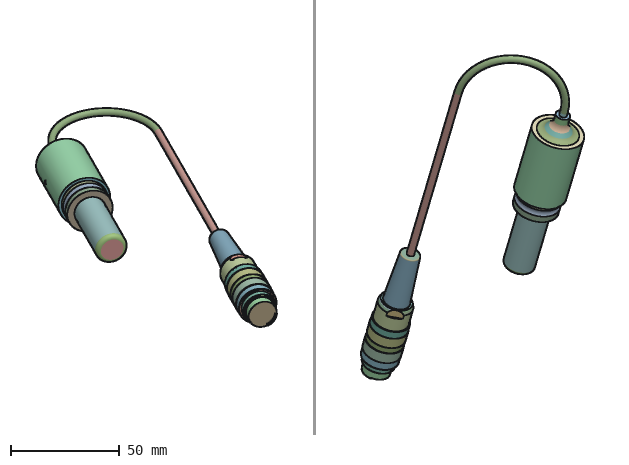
import cadquery as cq
import math

overall_length = 193.3
overall_depth = 71.7
housing_diameter = 25.0
grip_diameter = 18.5
axis_spacing = overall_depth - housing_diameter / 2 - grip_diameter / 2
bend_radius = axis_spacing / 2
cable_diameter = 3.7
connector_end = overall_length - bend_radius - cable_diameter / 2

relief_start = 2.0
relief_radius = 3.5
relief_flare_start = 5.5
relief_cone_angle = 45
relief_fillet = 4.8
relief_mouth_radius = 10.0

housing_start = 12.0
housing_end = 47.7
housing_hole_x = 26.9
housing_hole_diameter = 1.7
housing_hole_depth = 1.0

collar_end = 56.8
collar_diameter = 21.8
groove_start = 50.0
groove_width = 3.5
groove_depth = 0.8
rod_end = 92.0
rod_diameter = 15.0
rod_fillet = 2.1

boot_start = 96.5
boot_end = 124.3
boot_start_diameter = 9.7
boot_end_diameter = 13.0
boot_fillet = 0.5

shell_rim_radius = 7.5
shell_rim_length = 0.5
shell_chamfer_start_radius = 8.0
shell_chamfer_end = 126.4
shell_radius = 8.5
shell_end = 135.7
flat_end = 128.3
flat_spacing = 15.0

band_radius = 9.0
grip_radius = grip_diameter / 2
second_grip_chamfer = 0.2
ring_end_chamfer = 0.4
ring_end_radius = 8.9
first_grip_start = 139.5
first_grip_end = 145.1
second_grip_start = 148.2
second_grip_end = 154.2
ring_end = 158.5
neck_end = 162.0
neck_radius = 8.0
neck_chamfer = 0.5
plug_diameter = 13.5
tab_length = 0.4
tab_wall = 1.0
tab_first_angle = -70
tab_sweep = 65


def cylinder(start, end, diameter):
    """Solid cylinder along +X between two stations, centred on the X axis."""
    return cq.Workplane("YZ", origin=(start, 0, 0)).circle(diameter / 2).extrude(end - start)


def revolved(points):
    """Solid of revolution about the X axis from (x, radius) points."""
    return cq.Workplane("XY").polyline(points).close().revolve(360, (0, 0, 0), (1, 0, 0))


def on_connector_axis(body):
    return body.translate((0, axis_spacing, 0))


def make_cable():
    path = (
        cq.Workplane("XY")
        .moveTo(relief_start, 0)
        .lineTo(0, 0)
        .threePointArc((-bend_radius, bend_radius), (0, axis_spacing))
        .lineTo(boot_start, axis_spacing)
    )
    profile = cq.Workplane("YZ", origin=(relief_start, 0, 0)).circle(cable_diameter / 2)
    return profile.sweep(path)


def make_strain_relief():
    run = relief_fillet * math.sin(math.radians(relief_cone_angle))
    rise = relief_fillet - run
    cone_start = (relief_flare_start + run, relief_radius + rise)
    cone_end = (housing_start - rise, relief_mouth_radius - run)
    half_run = relief_fillet * math.sin(math.radians(relief_cone_angle / 2))
    half_rise = relief_fillet * (1 - math.cos(math.radians(relief_cone_angle / 2)))
    return (
        cq.Workplane("XY")
        .moveTo(relief_start, 0)
        .lineTo(relief_start, relief_radius)
        .lineTo(relief_flare_start, relief_radius)
        .threePointArc((relief_flare_start + half_run, relief_radius + half_rise), cone_start)
        .lineTo(*cone_end)
        .threePointArc(
            (housing_start - half_rise, relief_mouth_radius - half_run),
            (housing_start, relief_mouth_radius),
        )
        .lineTo(housing_start, 0)
        .close()
        .revolve(360, (0, 0, 0), (1, 0, 0))
    )


def make_housing():
    housing = cylinder(housing_start, housing_end, housing_diameter)
    hole = (
        cq.Workplane("XZ", origin=(housing_hole_x, -housing_diameter / 2, 0))
        .circle(housing_hole_diameter / 2)
        .extrude(-housing_hole_depth)
    )
    return housing.cut(hole)


def make_probe():
    collar_radius = collar_diameter / 2
    collar = (
        cq.Workplane("XY")
        .moveTo(housing_end, 0)
        .lineTo(housing_end, collar_radius)
        .lineTo(groove_start, collar_radius)
        .threePointArc(
            (groove_start + groove_width / 2, collar_radius - groove_depth),
            (groove_start + groove_width, collar_radius),
        )
        .lineTo(collar_end, collar_radius)
        .lineTo(collar_end, 0)
        .close()
        .revolve(360, (0, 0, 0), (1, 0, 0))
    )
    rod = cylinder(collar_end, rod_end, rod_diameter).faces(">X").edges().fillet(rod_fillet)
    return collar.union(rod)


def make_boot():
    boot = revolved([
        (boot_start, 0),
        (boot_start, boot_start_diameter / 2),
        (boot_end, boot_end_diameter / 2),
        (boot_end, 0),
    ])
    return on_connector_axis(boot.faces("<X").edges().fillet(boot_fillet))


def cut_flats(shell):
    """Cut the two flats at the cable end, above and below the connector axis."""
    for side in (-1, 1):
        block = cq.Workplane("XY").box(
            flat_end - boot_end, 2 * shell_radius, shell_radius, centered=(False, True, True)
        )
        shell = shell.cut(block.translate((boot_end, 0, side * (flat_spacing + shell_radius) / 2)))
    return shell


def make_tab():
    """Sector of a thin ring that stands out from the plug's end face."""
    outer = plug_diameter / 2
    inner = outer - tab_wall

    def rim_point(radius, share):
        angle = math.radians(tab_first_angle + share * tab_sweep)
        return radius * math.cos(angle), radius * math.sin(angle)

    return (
        cq.Workplane("YZ", origin=(connector_end - tab_length, 0, 0))
        .moveTo(*rim_point(inner, 0))
        .lineTo(*rim_point(outer, 0))
        .threePointArc(rim_point(outer, 0.5), rim_point(outer, 1))
        .lineTo(*rim_point(inner, 1))
        .threePointArc(rim_point(inner, 0.5), rim_point(inner, 0))
        .close()
        .extrude(tab_length)
    )


def make_shell():
    shell = revolved([
        (boot_end, 0),
        (boot_end, shell_rim_radius),
        (boot_end + shell_rim_length, shell_chamfer_start_radius),
        (shell_chamfer_end, shell_radius),
        (shell_end, shell_radius),
        (shell_end, 0),
    ])
    return cut_flats(shell)


def make_plug():
    ring = revolved([
        (shell_end, 0),
        (shell_end, band_radius),
        (first_grip_start, band_radius),
        (first_grip_start, grip_radius),
        (first_grip_end, grip_radius),
        (first_grip_end, band_radius),
        (second_grip_start, band_radius),
        (second_grip_start + second_grip_chamfer, grip_radius),
        (second_grip_end - second_grip_chamfer, grip_radius),
        (second_grip_end, band_radius),
        (ring_end - ring_end_chamfer, band_radius),
        (ring_end, ring_end_radius),
        (ring_end, 0),
    ])
    neck = cylinder(ring_end, neck_end, 2 * neck_radius).faces(">X").edges().chamfer(neck_chamfer)
    tip = cylinder(neck_end, connector_end - tab_length, plug_diameter)
    return ring.union(neck).union(tip).union(make_tab())


def make_connector():
    return on_connector_axis(make_shell().union(make_plug()))


cable = make_cable()
strain_relief = make_strain_relief()
housing = make_housing()
probe = make_probe()
boot = make_boot()
connector = make_connector()

result = cq.Compound.makeCompound([
    cable.val(),
    strain_relief.val(),
    housing.val(),
    probe.val(),
    boot.val(),
    connector.val(),
])